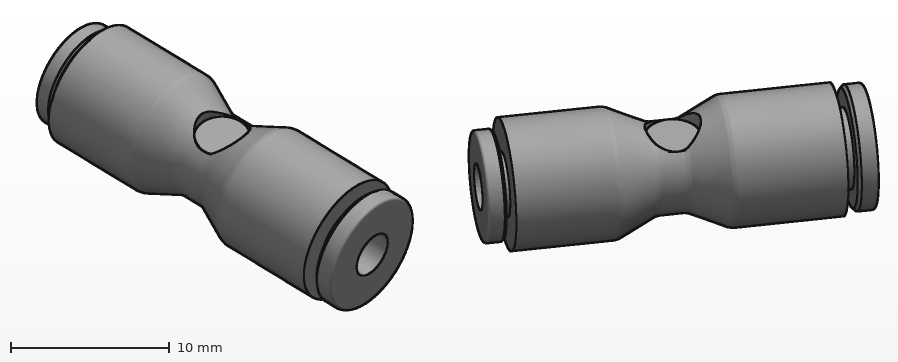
import cadquery as cq
length = 24.92
bore_radius = 1.5

body_start = 1.67
body_end = 22.9
body_diameter = 8.5
body_radius = body_diameter / 2
waist_radius = 3.0
waist_center = 12.04
waist_length = 2.0
cone_length = 2.67
blend_radius = 0.7

left_flange_radius = 3.6
left_flange_thickness = 1.2
left_neck_radius = 2.1
left_outer_fillet = 0.17
left_inner_chamfer = 0.15
right_flange_radius = 4.04
right_flange_thickness = 1.35
right_flange_start = length - right_flange_thickness
right_neck_radius = 2.62
right_outer_fillet = 0.2
right_inner_chamfer = 0.22

pad_center = 12.44
pad_radius = 1.77
pad_height = 2.4


def cylinder_along_x(start, end, radius):
    return cq.Workplane("YZ", origin=(start, 0, 0)).circle(radius).extrude(end - start)


def make_body():
    waist_start = waist_center - waist_length / 2
    waist_end = waist_center + waist_length / 2
    left_cone_start = waist_start - cone_length
    right_cone_end = waist_end + cone_length
    profile = (
        cq.Workplane("XZ")
        .moveTo(body_start, 0)
        .lineTo(body_start, body_radius)
        .lineTo(left_cone_start, body_radius)
        .lineTo(waist_start, waist_radius)
        .lineTo(waist_end, waist_radius)
        .lineTo(right_cone_end, body_radius)
        .lineTo(body_end, body_radius)
        .lineTo(body_end, 0)
        .close()
    )
    body = profile.revolve(360, (0, 0, 0), (1, 0, 0))
    cone_edges = body.edges("%CIRCLE").edges("(not <X) and (not >X)")
    return cone_edges.fillet(blend_radius)


def make_left_flange():
    flange = cylinder_along_x(0, left_flange_thickness, left_flange_radius)
    flange = flange.faces("<X").edges().fillet(left_outer_fillet)
    return flange.faces(">X").edges().chamfer(left_inner_chamfer)


def make_right_flange():
    flange = cylinder_along_x(right_flange_start, length, right_flange_radius)
    flange = flange.faces(">X").edges().fillet(right_outer_fillet)
    return flange.faces("<X").edges().chamfer(right_inner_chamfer)


def make_pad_recess():
    floor = cq.Workplane("XY", origin=(pad_center, 0, pad_height))
    return floor.circle(pad_radius).extrude(body_radius - pad_height)


result = (
    make_body()
    .cut(make_pad_recess())
    .union(cylinder_along_x(left_flange_thickness, body_start, left_neck_radius))
    .union(cylinder_along_x(body_end, right_flange_start, right_neck_radius))
    .union(make_left_flange())
    .union(make_right_flange())
    .cut(cylinder_along_x(0, length, bore_radius))
)